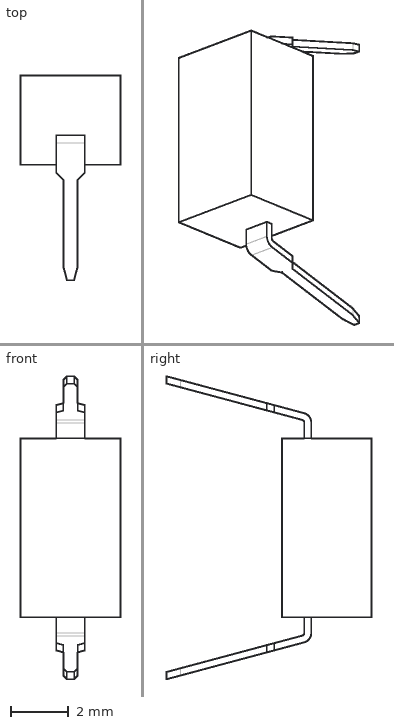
import cadquery as cq
import math

body_width = 3.48
body_depth = 3.1
body_height = 6.2

overall_height = 10.5
lead_reach = 4.0
lead_setback = 1.02
lead_thickness = 0.25
lead_slope = math.radians(15)
inner_bend_radius = 0.1
outer_bend_radius = inner_bend_radius + lead_thickness

root_width = 1.0
pin_width = 0.5
tip_width = 0.25
tip_length = 0.47
shoulder_start = 0.27
shoulder_length = 0.25


def make_body():
    return cq.Workplane("XY").box(body_width, body_depth, body_height).translate((0, body_depth / 2, 0))


def bent_strip():
    """Full-width upper lead with its bend, ending on a vertical tip face."""
    tip_y = -lead_reach
    back_y = lead_setback
    front_y = back_y - lead_thickness
    base_z = body_height / 2
    tip_top_z = overall_height / 2
    tip_bottom_z = tip_top_z - lead_thickness / math.cos(lead_slope)
    outer_corner_z = tip_top_z - (back_y - tip_y) * math.tan(lead_slope)
    inner_corner_z = tip_bottom_z - (front_y - tip_y) * math.tan(lead_slope)
    strip = (
        cq.Workplane("YZ")
        .polyline([
            (back_y, base_z),
            (back_y, outer_corner_z),
            (tip_y, tip_top_z),
            (tip_y, tip_bottom_z),
            (front_y, inner_corner_z),
            (front_y, base_z),
        ])
        .close()
        .extrude(root_width / 2, both=True)
    )
    outer_edge = cq.selectors.NearestToPointSelector((0, back_y, outer_corner_z))
    inner_edge = cq.selectors.NearestToPointSelector((0, front_y, inner_corner_z))
    strip = strip.edges("|X").edges(outer_edge).fillet(outer_bend_radius)
    return strip.edges("|X").edges(inner_edge).fillet(inner_bend_radius)


def plan_outline():
    """Vertical prism with the lead's plan shape: wide root, shoulders, pin, tapered tip."""
    tip_y = -lead_reach
    right_side = [
        (root_width / 2, lead_setback),
        (root_width / 2, -shoulder_start),
        (pin_width / 2, -shoulder_start - shoulder_length),
        (pin_width / 2, tip_y + tip_length),
        (tip_width / 2, tip_y),
    ]
    left_side = [(-x, y) for x, y in reversed(right_side)]
    return cq.Workplane("XY").polyline(right_side + left_side).close().extrude(overall_height / 2)


upper_lead = bent_strip().intersect(plan_outline())
lower_lead = upper_lead.mirror("XY")

result = make_body().union(upper_lead).union(lower_lead)